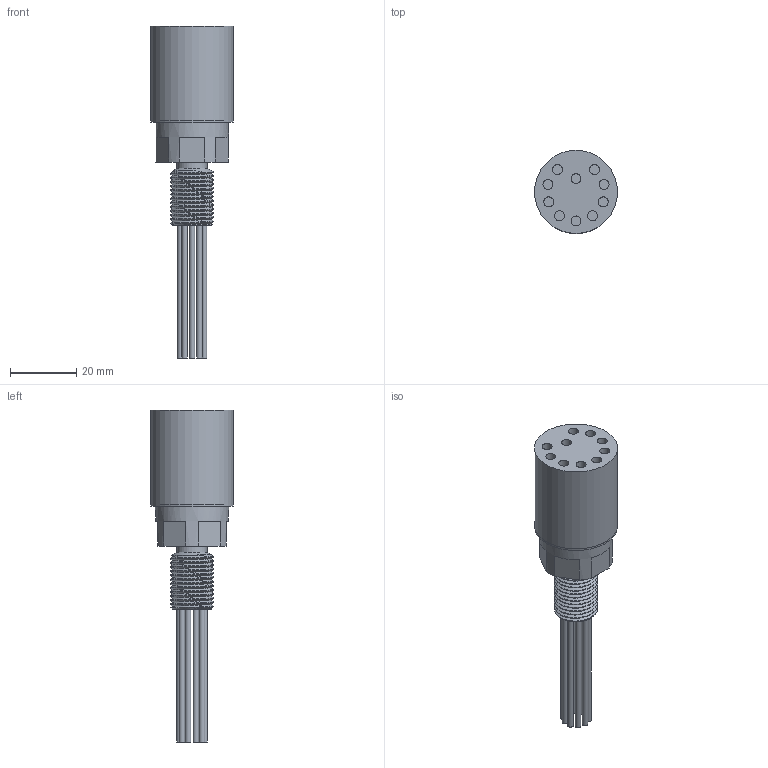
import cadquery as cq
import math

wire_length = 40.0
neck_bottom = 57.1
collar_bottom = 59.0
flats_top = 66.5
body_bottom = 71.0
sleeve_bottom = 71.6
part_top = 100.0

body_diameter = 25.0
rim_diameter = 24.98
collar_diameter = 22.0
neck_diameter = 9.24

flat_count = 6
across_flats = 20.65

thread_diameter = 13.0
thread_pitch = 1.25
thread_depth = 0.7
thread_end_chamfer = 0.55
shoulder_slope_angle = 30.0
root_flat = 0.08
crest_flat = 0.2
groove_start_height = -0.75
groove_turns = 14
groove_overshoot = 0.1

wire_count = 10
wire_diameter = 1.7
wire_circle_radius = (neck_diameter - wire_diameter) / 2
wire_embed = 1.0

hole_diameter = 3.0
hole_depth = 12.0
hole_circle_radius = 8.75
ring_hole_count = 9
hole_spacing_angle = 35.0
inner_hole_offset = 4.0


def cylinder(diameter, bottom, top):
    """Solid cylinder on the Z axis between two heights."""
    return cq.Workplane("XY").workplane(offset=bottom).circle(diameter / 2).extrude(top - bottom)


def make_body():
    """Cylindrical head with a slight relief at its lower rim."""
    rim = cylinder(rim_diameter, body_bottom, sleeve_bottom)
    return rim.union(cylinder(body_diameter, sleeve_bottom, part_top))


def make_collar():
    """Round collar whose lower part carries six wrench flats."""
    hexagon = (
        cq.Workplane("XY")
        .workplane(offset=collar_bottom)
        .polygon(flat_count, across_flats, circumscribed=True)
        .extrude(flats_top - collar_bottom)
        .rotate((0, 0, 0), (0, 0, 1), 180 / flat_count)
    )
    flatted = cylinder(collar_diameter, collar_bottom, flats_top).intersect(hexagon)
    return flatted.union(cylinder(collar_diameter, flats_top, body_bottom))


def make_shank():
    """Shank blank: chamfered at its lower end, with a conical shoulder up to the neck."""
    thread_radius = thread_diameter / 2
    neck_radius = neck_diameter / 2
    shoulder_height = (thread_radius - neck_radius) * math.tan(math.radians(shoulder_slope_angle))
    profile = [
        (0, wire_length),
        (thread_radius - thread_end_chamfer, wire_length),
        (thread_radius, wire_length + thread_end_chamfer),
        (thread_radius, neck_bottom - shoulder_height),
        (neck_radius, neck_bottom),
        (neck_radius, collar_bottom),
        (0, collar_bottom),
    ]
    return cq.Workplane("XZ").polyline(profile).close().revolve(360, (0, 0, 0), (0, 1, 0))


def make_groove_turn():
    """One turn of the helical V-shaped cutter, starting on the +X side."""
    thread_radius = thread_diameter / 2
    root_radius = thread_radius - thread_depth
    cutter_radius = thread_radius + groove_overshoot
    start = wire_length + groove_start_height
    root_half_width = root_flat / 2
    mouth_half_width = (thread_pitch - crest_flat) / 2
    flank_slope = (mouth_half_width - root_half_width) / thread_depth
    cutter_half_width = mouth_half_width + flank_slope * groove_overshoot
    helix = cq.Wire.makeHelix(thread_pitch, thread_pitch, root_radius, center=cq.Vector(0, 0, start))
    section = [
        (root_radius, start - root_half_width),
        (cutter_radius, start - cutter_half_width),
        (cutter_radius, start + cutter_half_width),
        (root_radius, start + root_half_width),
    ]
    return cq.Workplane("XZ").polyline(section).close().sweep(cq.Workplane(obj=helix), isFrenet=True)


def cut_thread(shank):
    """Cut a right-hand thread turn by turn, running out at both ends."""
    groove_turn = make_groove_turn()
    for turn in range(groove_turns):
        shank = shank.cut(groove_turn.translate((0, 0, turn * thread_pitch)))
    return shank


def make_wires():
    """Ring of parallel wires hanging below the shank."""
    return (
        cq.Workplane("XY")
        .polarArray(wire_circle_radius, 90, 360, wire_count)
        .circle(wire_diameter / 2)
        .extrude(wire_length + wire_embed)
    )


def hole_centres():
    """Ring holes symmetric about the -Y direction, then the single inner hole."""
    middle = (ring_hole_count - 1) / 2
    centres = []
    for index in range(ring_hole_count):
        angle = math.radians(-90 + (index - middle) * hole_spacing_angle)
        centres.append((hole_circle_radius * math.cos(angle), hole_circle_radius * math.sin(angle)))
    centres.append((0, inner_hole_offset))
    return centres


def make_contact_holes():
    """Blind holes sunk from the top face."""
    return (
        cq.Workplane("XY")
        .workplane(offset=part_top - hole_depth)
        .pushPoints(hole_centres())
        .circle(hole_diameter / 2)
        .extrude(hole_depth)
    )


threaded_shank = cut_thread(make_shank())
result = make_body().union(make_collar()).union(threaded_shank).union(make_wires())
result = result.cut(make_contact_holes())